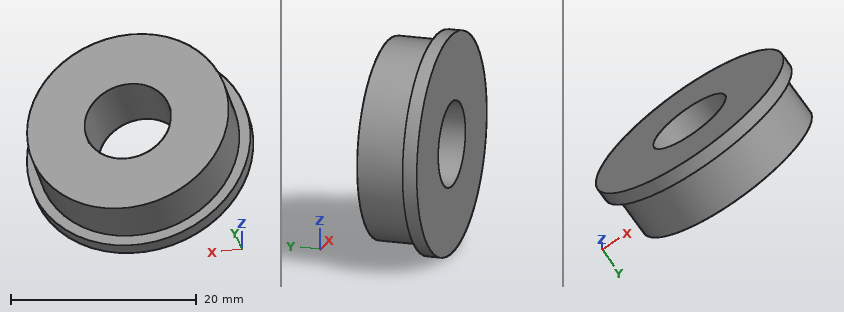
import cadquery as cq

flange_diameter = 24.6
body_diameter = 22.2
bore_diameter = 9.5
total_length = 7.14
flange_thickness = 1.6


def cylinder_along_y(diameter, length):
    """Cylinder running from the flange face at Y = 0 toward +Y."""
    return cq.Workplane("XZ").circle(diameter / 2).extrude(-length)


flange = cylinder_along_y(flange_diameter, flange_thickness)
body = cylinder_along_y(body_diameter, total_length)
bore = cylinder_along_y(bore_diameter, total_length)

result = flange.union(body).cut(bore)